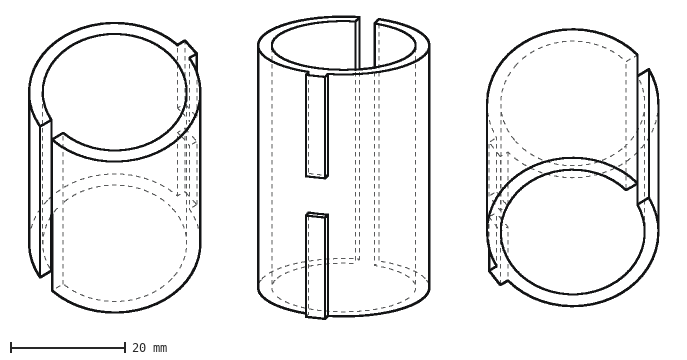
import cadquery as cq

length = 45.0
outer_diameter = 30.0
bore_diameter = 25.2
slot_width = 3.5
key_top = 16.5
key_gap = 7.3

outer_radius = outer_diameter / 2
bore_radius = bore_diameter / 2
wall = outer_radius - bore_radius
key_length = (length - key_gap) / 2
key_root = bore_radius + wall / 2


def make_sleeve():
    """Plain tube standing on the XY plane."""
    return cq.Workplane("XY").circle(outer_radius).circle(bore_radius).extrude(length)


def make_slot():
    """Full-length cutter that splits the -Y side of the sleeve."""
    return cq.Workplane("XY").box(
        slot_width, outer_diameter, length, centered=(True, False, False)
    ).translate((0, -outer_diameter, 0))


def make_key(base_height):
    """Key segment on the +Y side, starting at the given height."""
    return cq.Workplane("XY").box(
        slot_width, key_top - key_root, key_length, centered=(True, False, False)
    ).translate((0, key_root, base_height))


result = make_sleeve().cut(make_slot())
for base_height in (0, length - key_length):
    result = result.union(make_key(base_height))